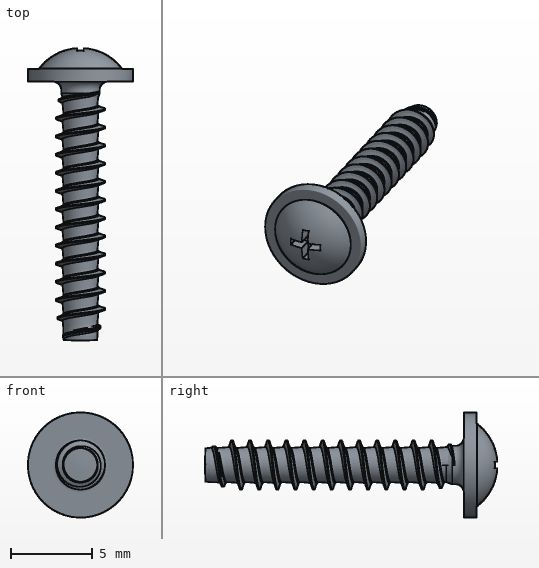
import cadquery as cq
import math


head_height = 2.08
flange_radius = 3.25
flange_thickness = 0.8
flange_edge_round = 0.05
dome_radius = 2.55
dome_edge_height = 0.04

recess_span = 1.99
recess_width = 0.4
recess_depth = 1.0

shank_length = 16.0
neck_radius = 1.2
neck_length = 0.72
neck_fillet = 0.5
neck_taper_length = 0.36
core_radius = 1.07
tip_radius = 1.03
tip_taper_length = 0.27
tip_cone_height = 0.05
tip_rim = tip_cone_height - shank_length

pitch = 1.12
run_out_turns = 1.25
full_turns = 11.25
run_in_turns = 1.0
thread_bottom = -15.7
thread_bottom_turn = 0.5

crest_radius = 1.52
crest_tip_end_radius = 1.08
crest_neck_end_radius = 1.2
crest_half_width = 0.04
shoulder_radius = 1.32
shoulder_height = 0.09
root_radius = 1.12
root_height_head_side = 0.18
root_height_tip_side = -0.16
fade_radius = core_radius - 0.02
flank_foot_radius = core_radius - 0.04
flank_foot_height = 0.3
slope_foot_radius = core_radius - 0.005
slope_foot_height = -0.78
slope_foot_tip_end_radius = 1.01
buried_radius = 0.94


def make_blank():
    """Revolved head and shank, without the thread and the recess."""
    peak_radius = recess_width * math.sqrt(0.5)
    dome_base = flange_thickness + dome_edge_height
    dome_centre = (
        (peak_radius**2 + head_height**2 - dome_radius**2 - dome_base**2)
        / (2 * (head_height - dome_base))
    )
    sphere_radius = math.hypot(dome_radius, dome_base - dome_centre)
    half_angle = math.asin(dome_radius / sphere_radius) / 2
    dome_middle = (
        sphere_radius * math.sin(half_angle),
        dome_centre + sphere_radius * math.cos(half_angle),
    )

    arc_inset = 1 - math.sqrt(0.5)
    fillet_inset = neck_fillet * arc_inset
    edge_inset = flange_edge_round * arc_inset
    flat_radius = flange_radius - flange_edge_round

    return (
        cq.Workplane("XZ")
        .moveTo(0, dome_centre + sphere_radius)
        .threePointArc(dome_middle, (dome_radius, dome_base))
        .lineTo(dome_radius, flange_thickness)
        .lineTo(flat_radius, flange_thickness)
        .threePointArc(
            (flange_radius - edge_inset, flange_thickness - edge_inset),
            (flange_radius, flange_thickness - flange_edge_round),
        )
        .lineTo(flange_radius, flange_edge_round)
        .threePointArc((flange_radius - edge_inset, edge_inset), (flat_radius, 0))
        .lineTo(neck_radius + neck_fillet, 0)
        .threePointArc((neck_radius + fillet_inset, -fillet_inset), (neck_radius, -neck_fillet))
        .lineTo(neck_radius, -neck_length)
        .lineTo(core_radius, -neck_length - neck_taper_length)
        .lineTo(core_radius, tip_rim + tip_taper_length)
        .lineTo(tip_radius, tip_rim)
        .lineTo(0, -shank_length)
        .close()
        .revolve(360, (0, 0), (0, 1))
    )


def helix_edge(lower_radius, upper_radius, turns, start_height, start_turn):
    """Helix whose radius changes evenly from its lower to its upper end."""
    rise = turns * pitch
    slope = math.atan2(upper_radius - lower_radius, rise)
    slant = 1 / math.cos(slope)
    cone_angle = math.degrees(slope) if slope else 360
    wire = cq.Wire.makeHelix(pitch * slant, rise * slant, lower_radius, angle=cone_angle)
    turned = wire.rotate(cq.Vector(0, 0, 0), cq.Vector(0, 0, 1), 360 * start_turn)
    return turned.translate(cq.Vector(0, 0, start_height)).Edges()[0]


def make_thread():
    """Helical rib, bounded by ruled faces between the helices of its section's corners."""
    section = [
        (slope_foot_height, buried_radius, buried_radius, buried_radius),
        (slope_foot_height, slope_foot_tip_end_radius, slope_foot_radius, slope_foot_radius),
        (root_height_tip_side, fade_radius, root_radius, root_radius),
        (-crest_half_width, crest_tip_end_radius, crest_radius, crest_neck_end_radius),
        (crest_half_width, crest_tip_end_radius, crest_radius, crest_neck_end_radius),
        (shoulder_height, fade_radius, shoulder_radius, root_radius),
        (root_height_head_side, fade_radius, root_radius, fade_radius),
        (flank_foot_height, flank_foot_radius, flank_foot_radius, flank_foot_radius),
        (flank_foot_height, buried_radius, buried_radius, buried_radius),
    ]
    faces = []
    end_corners = []
    start_height = thread_bottom
    start_turn = thread_bottom_turn
    for stage, turns in enumerate([run_out_turns, full_turns, run_in_turns]):
        edges = []
        for height, at_tip, in_full, at_neck in section:
            radii = [at_tip, in_full, in_full, at_neck]
            lower_radius, upper_radius = radii[stage:stage + 2]
            edges.append(
                helix_edge(lower_radius, upper_radius, turns, start_height + height, start_turn)
            )
        for edge, next_edge in zip(edges, edges[1:] + edges[:1]):
            faces.append(cq.Face.makeRuledSurface(edge, next_edge))
        end_corners.append([edge.startPoint() for edge in edges])
        end_corners.append([edge.endPoint() for edge in edges])
        start_height += turns * pitch
        start_turn += turns
    for corners in (end_corners[0], end_corners[-1]):
        faces.append(cq.Face.makeFromWires(cq.Wire.makePolygon(corners, close=True)))
    rib = cq.Workplane(cq.Solid.makeSolid(cq.Shell.makeShell(faces)))

    above_tip = cq.Workplane("XY", origin=(0, 0, tip_rim)).circle(flange_radius).extrude(-tip_rim)
    return rib.intersect(above_tip)


def make_recess():
    """Cross cutter, tall enough to clear the top of the dome."""
    cutter_height = 2 * recess_depth
    floor = cq.Workplane("XY", origin=(0, 0, head_height - recess_depth))
    arm_x = floor.rect(recess_span, recess_width).extrude(cutter_height)
    arm_y = floor.rect(recess_width, recess_span).extrude(cutter_height)
    return arm_x.union(arm_y)


screw = make_blank().union(make_thread()).cut(make_recess())
result = screw.rotate((0, 0, 0), (1, 0, 0), -90)